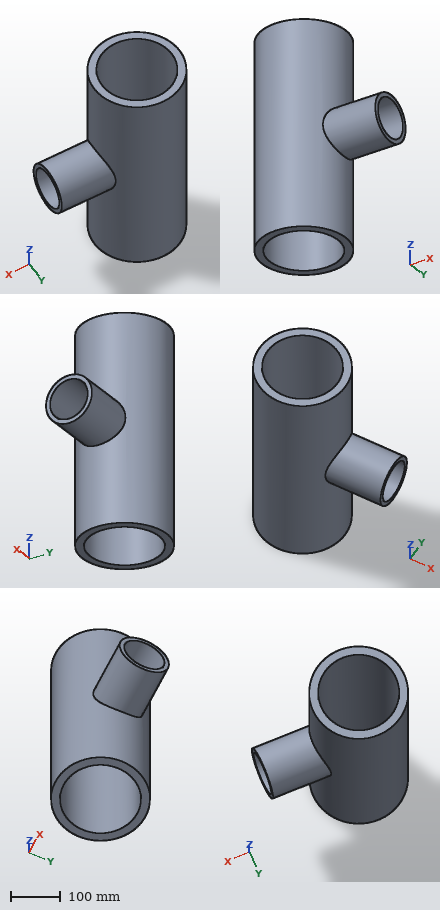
import cadquery as cq

main_length = 481.0
main_diameter = 200.0
main_bore = 163.5
branch_diameter = 109.5
branch_reach = 211.0

branch_bore = branch_diameter * main_bore / main_diameter


def main_cylinder(diameter):
    """Vertical cylinder centred on the origin."""
    return cq.Workplane("XY").circle(diameter / 2).extrude(main_length / 2, both=True)


def branch_cylinder(diameter):
    """Horizontal cylinder from the main axis to the branch end."""
    return cq.Workplane("YZ").circle(diameter / 2).extrude(branch_reach)


outside = main_cylinder(main_diameter).union(branch_cylinder(branch_diameter))
passages = main_cylinder(main_bore).union(branch_cylinder(branch_bore))
result = outside.cut(passages)